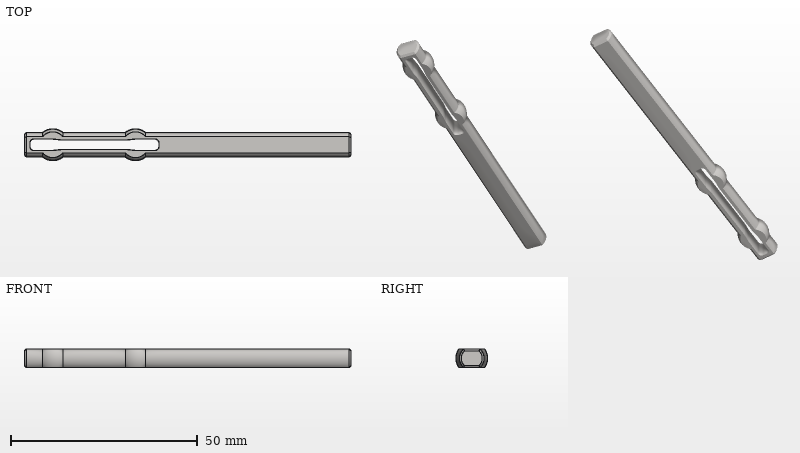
import cadquery as cq

LENGTH = 87.5
THICKNESS = 5.0
BAR_DIAMETER = 6.6
END_CHAMFER = 0.5
SLAB_SIDE_MARGIN = 1.0

BULGE_RADIUS = 4.27
FIRST_BULGE_X = 7.6
BULGE_SPACING = 22.15

SLOT_START_X = 1.5
SLOT_LENGTH = 34.5
SLOT_END_WIDTH = 3.0
SLOT_MIDDLE_WIDTH = 2.5
SLOT_CORNER_RADIUS = 1.0
SLOT_TAPER_LENGTH = 2.25

BAR_RADIUS = BAR_DIAMETER / 2
BULGE_CENTRES = [FIRST_BULGE_X, FIRST_BULGE_X + BULGE_SPACING]


def make_round_bar():
    """Round bar along X with chamfered ends and a ball at each bulge."""
    bar = cq.Workplane("YZ").circle(BAR_RADIUS).extrude(LENGTH)
    bar = bar.faces("<X or >X").chamfer(END_CHAMFER)
    for centre in BULGE_CENTRES:
        ball = cq.Workplane("XY").sphere(BULGE_RADIUS).translate((centre, 0, 0))
        bar = bar.union(ball)
    return bar


def make_slab():
    """Flat slab with chamfered ends that cuts the round bar to thickness."""
    width = 2 * (BULGE_RADIUS + SLAB_SIDE_MARGIN)
    slab = cq.Workplane("XY").box(LENGTH, width, THICKNESS, centered=(False, True, True))
    return slab.faces("<X or >X").edges("|Y").chamfer(END_CHAMFER)


def make_slot():
    """Through slot with rounded corners and a narrower middle stretch."""
    end_x = SLOT_START_X + SLOT_LENGTH
    first_x, second_x = BULGE_CENTRES
    wide = SLOT_END_WIDTH / 2
    narrow = SLOT_MIDDLE_WIDTH / 2
    upper_wall = [
        (SLOT_START_X, wide),
        (first_x, wide),
        (first_x + SLOT_TAPER_LENGTH, narrow),
        (second_x - SLOT_TAPER_LENGTH, narrow),
        (second_x, wide),
        (end_x, wide),
    ]
    lower_wall = [(x, -y) for x, y in reversed(upper_wall)]
    slot = (
        cq.Workplane("XY")
        .polyline(upper_wall + lower_wall)
        .close()
        .extrude(THICKNESS, both=True)
    )
    return slot.edges("|Z and (<X or >X)").fillet(SLOT_CORNER_RADIUS)


result = make_round_bar().intersect(make_slab()).cut(make_slot())